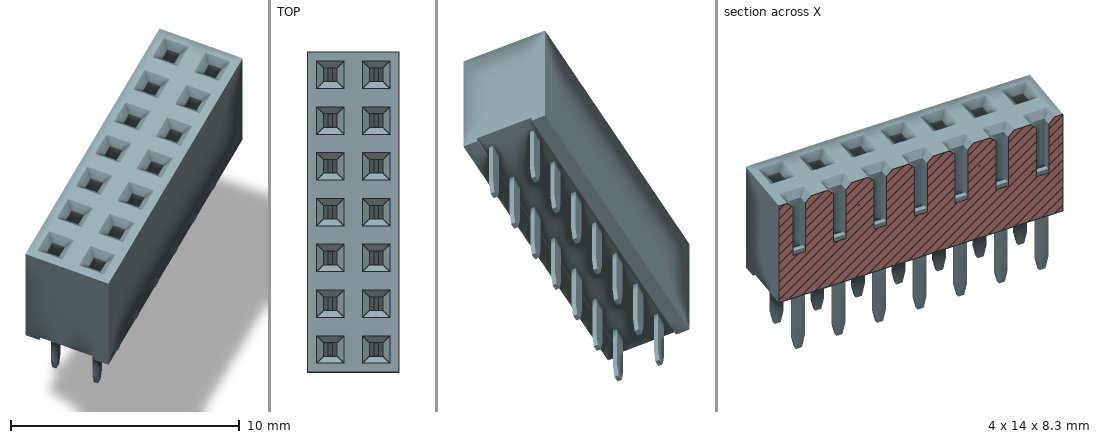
import cadquery as cq

pitch = 2.0
row_count = 2
pins_per_row = 7

housing_width = row_count * pitch
housing_length = pins_per_row * pitch
housing_height = 5.6
relief_width = housing_width * 2 / 3
relief_depth = 0.2

funnel_mouth = 1.2
well_side = 0.6
funnel_depth = 0.3
well_depth = 3.0

pin_thickness = 0.2
pin_width = 0.58
pin_tip_width = 0.3
pin_taper_length = 0.6
pin_overhang = 2.7
pin_rise_in_well = 0.2

pin_top = housing_height - well_depth + pin_rise_in_well


def make_housing():
    """Block standing on z = 0 with a relief channel along its underside."""
    block = cq.Workplane("XY").box(
        housing_width, housing_length, housing_height, centered=(True, True, False)
    )
    relief = cq.Workplane("XY").box(
        relief_width, housing_length, relief_depth, centered=(True, True, False)
    )
    return block.cut(relief)


def make_socket():
    """Cutter for one socket, centred on the Z axis."""
    funnel = (
        cq.Workplane("XY")
        .workplane(offset=housing_height)
        .rect(funnel_mouth, funnel_mouth)
        .workplane(offset=-funnel_depth)
        .rect(well_side, well_side)
        .loft(combine=True)
    )
    well = (
        cq.Workplane("XY")
        .workplane(offset=housing_height - well_depth)
        .rect(well_side, well_side)
        .extrude(well_depth)
    )
    return funnel.union(well)


def make_pin():
    """One pin blade, centred on the Z axis and pointing down."""
    half_width = pin_width / 2
    half_tip = pin_tip_width / 2
    taper_start = pin_taper_length - pin_overhang
    outline = [
        (-half_width, pin_top),
        (-half_width, taper_start),
        (-half_tip, -pin_overhang),
        (half_tip, -pin_overhang),
        (half_width, taper_start),
        (half_width, pin_top),
    ]
    return cq.Workplane("YZ").polyline(outline).close().extrude(pin_thickness / 2, both=True)


def centred_positions(count):
    """Coordinates of `count` places at the pitch, centred on zero."""
    return [(index - (count - 1) / 2) * pitch for index in range(count)]


socket = make_socket()
pin = make_pin()
result = make_housing()
for x in centred_positions(row_count):
    for y in centred_positions(pins_per_row):
        result = result.cut(socket.translate((x, y, 0)))
        result = result.union(pin.translate((x, y, 0)))